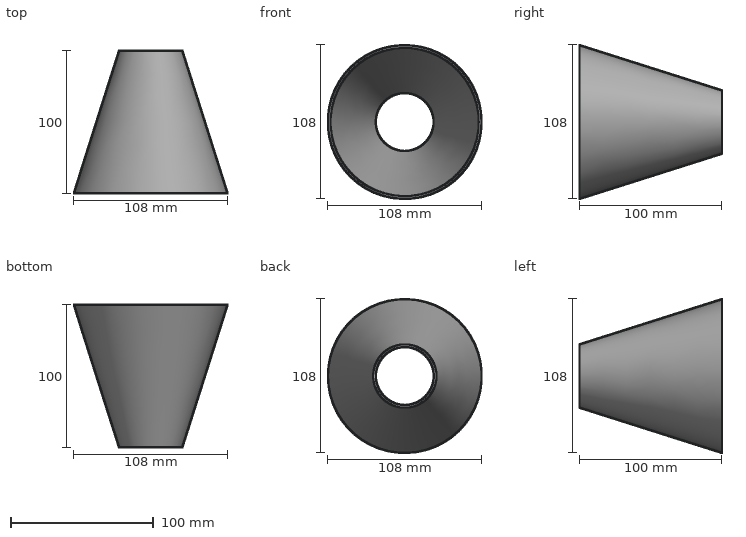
import cadquery as cq

wide_diameter = 108.0
narrow_diameter = 44.5
length = 100.0
wall = 2.0

wide_radius = wide_diameter / 2
narrow_radius = narrow_diameter / 2

wall_section = (
    cq.Workplane("XY")
    .moveTo(wide_radius - wall, 0)
    .lineTo(wide_radius, 0)
    .lineTo(narrow_radius, length)
    .lineTo(narrow_radius - wall, length)
    .close()
)

result = wall_section.revolve(360, (0, 0, 0), (0, 1, 0))